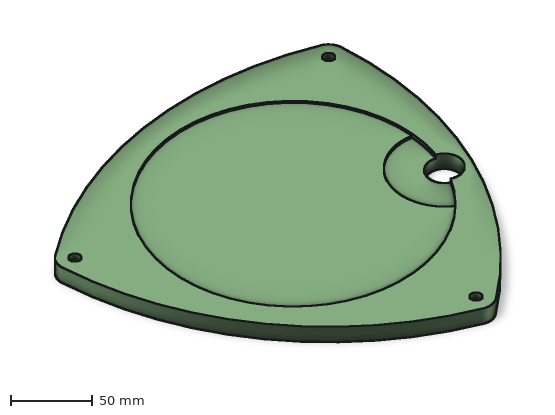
import cadquery as cq
import math

bolt_spacing = 250.2
corner_radius = 12.5
thickness = 12.5
bolt_diameter = 8.0

recess_radius = 100.0
recess_depth = 1.5
drain_diameter = 25.0

sump_radius = 37.5
sump_drop = 1.5

bolt_circle_radius = bolt_spacing / math.sqrt(3)
side_radius = bolt_spacing + corner_radius
bolt_angles = [30, 150, 270]
corner_half_angle = 30
side_half_angle = 30


def polar(radius, angle, center=(0, 0)):
    """Point at a radius and an angle in degrees around a center."""
    turn = math.radians(angle)
    return (center[0] + radius * math.cos(turn), center[1] + radius * math.sin(turn))


bolt_points = [polar(bolt_circle_radius, angle) for angle in bolt_angles]


def make_plate():
    """Each side is an arc about the opposite bolt, tangent to the corner arcs."""
    start = polar(corner_radius, bolt_angles[0] - corner_half_angle, bolt_points[0])
    outline = cq.Workplane("XY").moveTo(*start)
    for index, angle in enumerate(bolt_angles):
        corner_end = angle + corner_half_angle
        corner = bolt_points[index]
        opposite = bolt_points[index - 1]
        outline = outline.threePointArc(
            polar(corner_radius, angle, corner),
            polar(corner_radius, corner_end, corner),
        )
        outline = outline.threePointArc(
            polar(side_radius, corner_end + side_half_angle, opposite),
            polar(side_radius, corner_end + 2 * side_half_angle, opposite),
        )
    return outline.close().extrude(thickness)


def make_disk(radius, bottom, center_y=0):
    """Disk from a bottom height up to the top face of the plate."""
    base = cq.Workplane("XY", origin=(0, center_y, bottom))
    return base.circle(radius).extrude(thickness - bottom)


def make_recess():
    """Flat recess plus the part of the sump that lies inside its rim."""
    floor_height = thickness - recess_depth
    sump_height = floor_height - sump_drop
    recess = make_disk(recess_radius, floor_height)
    sump = make_disk(sump_radius, sump_height, recess_radius)
    return recess.union(sump.intersect(make_disk(recess_radius, sump_height)))


bolt_holes = cq.Workplane("XY").pushPoints(bolt_points).circle(bolt_diameter / 2).extrude(thickness)
drain = make_disk(drain_diameter / 2, 0, recess_radius)

result = make_plate().cut(make_recess()).cut(bolt_holes).cut(drain)